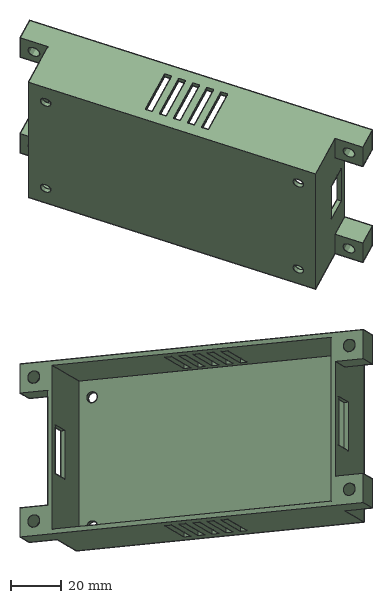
import cadquery as cq

total_length = 148.0
depth = 30.0
height = 71.0
wall = 1.9

tab_size = 12.0
tab_depth = 9.9
tab_hole_diameter = 5.0

screw_hole_diameter = 4.5
screw_spacing_x = 109.1
screw_spacing_z = 53.0

slot_count = 5
slot_width = 3.0
slot_length = 20.0
slot_pitch = 6.0

window_depth = 10.0
window_height = 20.0
window_back_margin = 3.5

body_length = total_length - 2 * tab_size
back_y = depth / 2
tab_spacing_x = total_length - tab_size
tab_spacing_z = height - tab_size


def corner_points(spacing_x, spacing_z):
    """Four (x, z) points at the corners of a centred rectangle."""
    return [(sx * spacing_x / 2, sz * spacing_z / 2) for sx in (-1, 1) for sz in (-1, 1)]


def holes_along_y(points, diameter):
    """Cylinders along Y at (x, z) points, spanning the whole depth."""
    return (
        cq.Workplane("XZ")
        .pushPoints(points)
        .circle(diameter / 2)
        .extrude(depth / 2, both=True)
    )


body = cq.Workplane("XY").box(body_length, depth, height)
cavity = (
    cq.Workplane("XY")
    .box(body_length - 2 * wall, depth - wall, height - 2 * wall)
    .translate((0, wall / 2, 0))
)
result = body.cut(cavity)

tab_points = corner_points(tab_spacing_x, tab_spacing_z)
for x, z in tab_points:
    tab = cq.Workplane("XY").box(tab_size, tab_depth, tab_size)
    result = result.union(tab.translate((x, back_y - tab_depth / 2, z)))
result = result.cut(holes_along_y(tab_points, tab_hole_diameter))

screw_points = corner_points(screw_spacing_x, screw_spacing_z)
result = result.cut(holes_along_y(screw_points, screw_hole_diameter))

vents = (
    cq.Workplane("XY")
    .rarray(slot_pitch, 1.5, slot_count, 1)
    .rect(slot_width, slot_length)
    .extrude(height / 2, both=True)
)
result = result.cut(vents)

window_y = back_y - window_back_margin - window_depth / 2
windows = cq.Workplane("XY").box(body_length, window_depth, window_height)
result = result.cut(windows.translate((0, window_y, 0)))